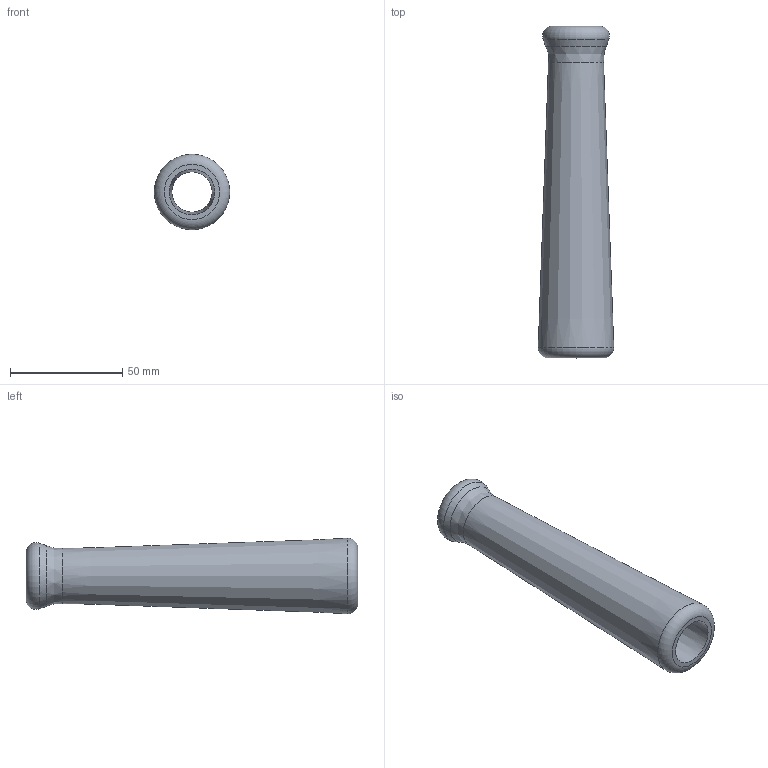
import cadquery as cq

length = 147.92
thick_end_radius = 17.01
neck_radius = 12.15
rim_radius = 17.0
flare_length = 12.5

bore_radius_thick_end = 10.2
bore_radius_rim = 9.0

thick_end_rounding = 4.5
rim_rounding = 4.5
neck_rounding = 18.0

neck_y = length - flare_length


def sharp_body():
    """Hollow turned body with sharp outer corners."""
    profile = (
        cq.Workplane("XY")
        .moveTo(bore_radius_thick_end, 0)
        .lineTo(thick_end_radius, 0)
        .lineTo(neck_radius, neck_y)
        .lineTo(rim_radius, length)
        .lineTo(bore_radius_rim, length)
        .close()
    )
    return profile.revolve(360, (0, 0, 0), (0, 1, 0))


def round_corner(body, radius, y, rounding):
    """Round the circular edge of the given radius that lies at y along the axis."""
    tolerance = 0.001
    edges = [
        edge
        for edge in body.edges("%CIRCLE").vals()
        if abs(edge.radius() - radius) < tolerance and abs(edge.Center().y - y) < tolerance
    ]
    return body.newObject(edges).fillet(rounding)


result = sharp_body()
result = round_corner(result, thick_end_radius, 0, thick_end_rounding)
result = round_corner(result, neck_radius, neck_y, neck_rounding)
result = round_corner(result, rim_radius, length, rim_rounding)